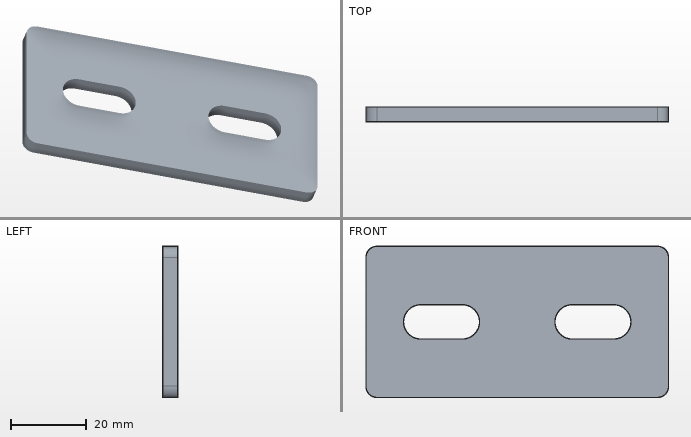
import cadquery as cq

plate_length = 80.0
plate_height = 40.0
plate_thickness = 4.0
corner_radius = 3.0

slot_length = 20.0
slot_width = 9.0
slot_spacing = plate_length / 2


def make_plate():
    """Rectangular plate centred on the origin, with its four corners rounded."""
    plate = cq.Workplane("XZ").rect(plate_length, plate_height).extrude(plate_thickness / 2, both=True)
    return plate.edges("|Y").fillet(corner_radius)


def cut_slots(plate):
    """Cut the pair of slots, placed symmetrically about the plate centre."""
    slot_centres = [(-slot_spacing / 2, 0), (slot_spacing / 2, 0)]
    slots = (
        cq.Workplane("XZ")
        .pushPoints(slot_centres)
        .slot2D(slot_length, slot_width)
        .extrude(plate_thickness, both=True)
    )
    return plate.cut(slots)


result = cut_slots(make_plate())